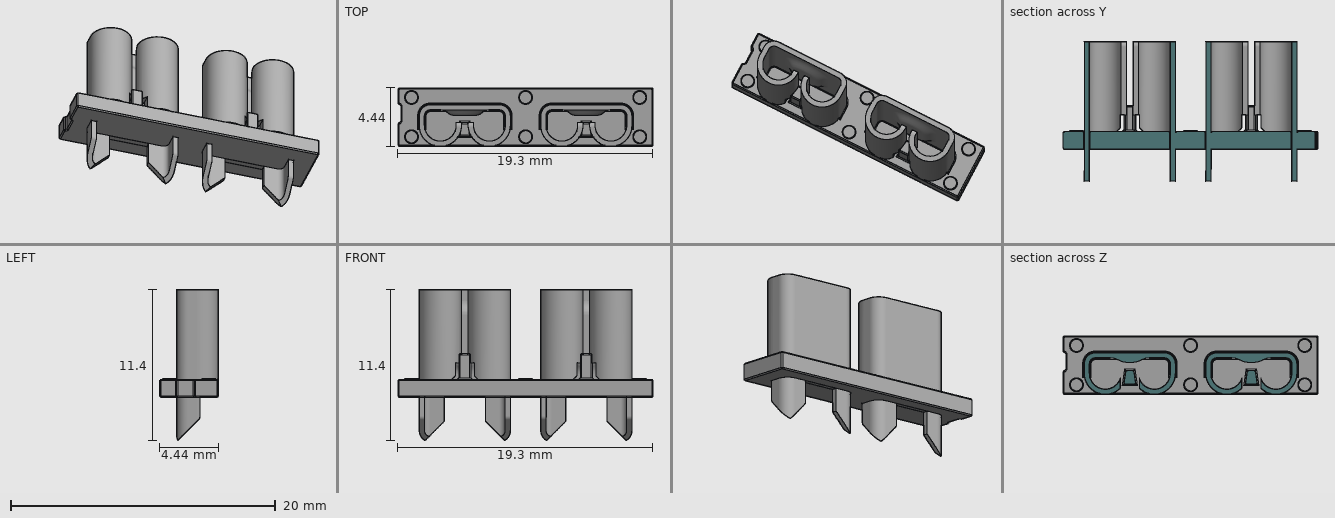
import cadquery as cq
import math

PLATE_LENGTH = 19.3
PLATE_WIDTH = 4.44
PLATE_THICKNESS = 1.37
EDGE_CHAMFER = 0.1

NOTCH_DEPTH = 0.21
NOTCH_WIDTH = 1.35
NOTCH_Y = 0.27

PAD_RADIUS = 0.52
PAD_HEIGHT = 0.08
PAD_BEVEL = 0.05
PAD_X = 8.63
PAD_Y = 1.49

TERMINAL_X = 4.6
WALL = 0.4
HALF_WIDTH = 3.45
TOTAL_HEIGHT = 11.4
HEIGHT = 6.77
LOBE_RADIUS = 1.6
LOBE_Y = LOBE_RADIUS - PLATE_WIDTH / 2
BACK_Y = 0.95
CORNER_RADIUS = 0.85
HALF_GAP = HALF_WIDTH - 2 * LOBE_RADIUS
TIP_Y = -0.4
TIP_ROUND = 0.39

RELIEF_HALF_WIDTH = 0.71
RELIEF_HEIGHT = 1.24
RELIEF_CHAMFER = 0.27

EMBOSS_DEPTH = 0.4
EMBOSS_SLOPE = 1.05
EMBOSS_TOP_RADIUS = 0.8
EMBOSS_BOTTOM_Z = 0.29
EMBOSS_TOP_Z = 5.93

PIN_WIDTH = 1.91
PIN_FRONT_Y = -0.83
PIN_TIP_Z = HEIGHT - TOTAL_HEIGHT
PIN_INNER_Z = -3.17
PIN_FRONT_Z = -2.95
PIN_FRONT_ROUND = 0.39
SLOT_CLEARANCE = 0.02

POST_HEIGHT = 1.95
POST_BACK_Y = -0.4
POST_FRONT_Y = -1.45
POST_BACK_HALF_WIDTH = 0.3
POST_FRONT_HALF_WIDTH = 0.46
POST_CHAMFER = 0.1


def make_plate():
    plate = cq.Workplane("XY").box(
        PLATE_LENGTH, PLATE_WIDTH, PLATE_THICKNESS, centered=(True, True, False)
    )
    notch = cq.Workplane("XY").center(-PLATE_LENGTH / 2, NOTCH_Y)
    notch = notch.rect(2 * NOTCH_DEPTH, NOTCH_WIDTH).extrude(PLATE_THICKNESS)
    plate = plate.cut(notch).edges("|Z").chamfer(EDGE_CHAMFER)
    plate = plate.faces("<Z").edges().chamfer(EDGE_CHAMFER)
    plate = plate.translate((0, 0, -PLATE_THICKNESS))
    slot = make_slot()
    for x in (-TERMINAL_X, TERMINAL_X):
        plate = plate.cut(slot.translate((x, 0, 0)))
    return plate.faces(">Z").edges().chamfer(EDGE_CHAMFER)


def make_pads():
    spots = [(x, y) for x in (-PAD_X, 0, PAD_X) for y in (-PAD_Y, PAD_Y)]
    pads = cq.Workplane("XY").pushPoints(spots).circle(PAD_RADIUS).extrude(PAD_HEIGHT)
    return pads.faces(">Z").chamfer(PAD_BEVEL)


def both_halves(half):
    return half.union(half.mirror("YZ"))


def half_wall(bottom, top):
    """Right half of the terminal wall between two heights."""
    inner_x = HALF_WIDTH - WALL
    lobe_x = HALF_WIDTH - LOBE_RADIUS
    corner_x = HALF_WIDTH - CORNER_RADIUS
    corner_y = BACK_Y - CORNER_RADIUS
    inner_radius = CORNER_RADIUS - WALL
    diagonal = math.sqrt(0.5)
    outline = (
        cq.Workplane("XY", origin=(0, 0, bottom))
        .moveTo(0, BACK_Y)
        .lineTo(corner_x, BACK_Y)
        .threePointArc(
            (corner_x + CORNER_RADIUS * diagonal, corner_y + CORNER_RADIUS * diagonal),
            (HALF_WIDTH, corner_y),
        )
        .lineTo(HALF_WIDTH, LOBE_Y)
        .threePointArc((lobe_x, LOBE_Y - LOBE_RADIUS), (HALF_GAP, LOBE_Y))
        .lineTo(HALF_GAP, TIP_Y)
        .lineTo(HALF_GAP + WALL, TIP_Y)
        .lineTo(HALF_GAP + WALL, LOBE_Y)
        .threePointArc((lobe_x, LOBE_Y - LOBE_RADIUS + WALL), (inner_x, LOBE_Y))
        .lineTo(inner_x, corner_y)
        .threePointArc(
            (corner_x + inner_radius * diagonal, corner_y + inner_radius * diagonal),
            (corner_x, BACK_Y - WALL),
        )
        .lineTo(0, BACK_Y - WALL)
        .close()
    )
    return outline.extrude(top - bottom)


def tip_rounding():
    """Material above the rounded top corner of the curled-in wall ends."""
    start_y = TIP_Y - TIP_ROUND
    start_z = HEIGHT - TIP_ROUND
    middle = TIP_ROUND * math.sqrt(0.5)
    corner = (
        cq.Workplane("YZ")
        .moveTo(start_y, HEIGHT)
        .threePointArc((start_y + middle, start_z + middle), (TIP_Y, start_z))
        .lineTo(TIP_Y, HEIGHT)
        .close()
    )
    return corner.extrude(HALF_GAP + WALL)


def foot_relief():
    """Right half of the opening around the key post, flared at the plate."""
    opening = (
        cq.Workplane("XZ", origin=(0, TIP_Y, 0))
        .lineTo(RELIEF_HALF_WIDTH + RELIEF_CHAMFER, 0)
        .lineTo(RELIEF_HALF_WIDTH, RELIEF_CHAMFER)
        .lineTo(RELIEF_HALF_WIDTH, RELIEF_HEIGHT)
        .lineTo(0, RELIEF_HEIGHT)
        .close()
    )
    return opening.extrude(TIP_Y + PLATE_WIDTH / 2)


def make_emboss():
    """Flat-topped oblong bulge: a straight run capped by two revolved ends."""
    wall_y = BACK_Y - WALL
    crest_y = wall_y - EMBOSS_DEPTH
    root_y = wall_y + WALL / 2
    outer_radius = EMBOSS_TOP_RADIUS + EMBOSS_SLOPE
    middle_radius = EMBOSS_TOP_RADIUS + EMBOSS_SLOPE / 2
    middle_y = wall_y - EMBOSS_DEPTH / 2
    low_z = EMBOSS_BOTTOM_Z + outer_radius
    high_z = EMBOSS_TOP_Z - outer_radius

    profile = (
        cq.Workplane("XY", origin=(0, 0, low_z))
        .moveTo(0, root_y)
        .lineTo(0, crest_y)
        .lineTo(EMBOSS_TOP_RADIUS, crest_y)
        .tangentArcPoint((middle_radius, middle_y), relative=False)
        .tangentArcPoint((outer_radius, wall_y), relative=False)
        .lineTo(outer_radius, root_y)
        .close()
    )
    straight = both_halves(profile.extrude(high_z - low_z))
    end = profile.toPending().revolve(360, (0, 0, 0), (0, 1, 0))
    return straight.union(end).union(end.translate((0, 0, high_z - low_z)))


def half_tail():
    """Right half of the wall below the plate top: one pin and a strip along the back."""
    inner_x = HALF_WIDTH - PIN_WIDTH
    tip_x = inner_x + PIN_INNER_Z - PIN_TIP_Z
    tip_y = PIN_FRONT_Y + PIN_FRONT_Z - PIN_TIP_Z
    inner_cut = (
        cq.Workplane("XZ")
        .moveTo(inner_x, 0)
        .lineTo(inner_x, PIN_INNER_Z)
        .lineTo(tip_x, PIN_TIP_Z)
        .lineTo(HALF_WIDTH, PIN_TIP_Z)
        .lineTo(HALF_WIDTH, 0)
        .close()
        .extrude(PLATE_WIDTH / 2, both=True)
    )
    front_cut = (
        cq.Workplane("YZ")
        .moveTo(PIN_FRONT_Y, 0)
        .lineTo(PIN_FRONT_Y, PIN_FRONT_Z)
        .lineTo(tip_y, PIN_TIP_Z)
        .lineTo(BACK_Y, PIN_TIP_Z)
        .lineTo(BACK_Y, 0)
        .close()
        .extrude(HALF_WIDTH)
    )
    front_corner = cq.NearestToPointSelector((HALF_WIDTH / 2, PIN_FRONT_Y, PIN_FRONT_Z))
    front_cut = front_cut.edges(front_corner).fillet(PIN_FRONT_ROUND)
    pin = half_wall(PIN_TIP_Z, 0).intersect(inner_cut).intersect(front_cut)
    strip = cq.Workplane("XY").box(inner_x, WALL, PLATE_THICKNESS, centered=False)
    return pin.union(strip.translate((0, BACK_Y - WALL, -PLATE_THICKNESS)))


def make_slot():
    """Clearance slot through the plate for the back and side walls."""
    front_y = PIN_FRONT_Y - SLOT_CLEARANCE

    def rounded_block(half_width, back_y, radius):
        block = cq.Workplane("XY", origin=(0, (front_y + back_y) / 2, -PLATE_THICKNESS))
        block = block.rect(2 * half_width, back_y - front_y).extrude(PLATE_THICKNESS)
        return block.edges("|Z and >Y").fillet(radius)

    outer = SLOT_CLEARANCE
    inner = -WALL - SLOT_CLEARANCE
    outside = rounded_block(HALF_WIDTH + outer, BACK_Y + outer, CORNER_RADIUS + outer)
    island = rounded_block(HALF_WIDTH + inner, BACK_Y + inner, CORNER_RADIUS + inner)
    return outside.cut(island)


def make_terminal():
    half = half_wall(0, HEIGHT).cut(tip_rounding()).cut(foot_relief()).union(half_tail())
    return both_halves(half).union(make_emboss())


def make_post():
    outline = [
        (-POST_BACK_HALF_WIDTH, POST_BACK_Y),
        (POST_BACK_HALF_WIDTH, POST_BACK_Y),
        (POST_FRONT_HALF_WIDTH, POST_FRONT_Y),
        (-POST_FRONT_HALF_WIDTH, POST_FRONT_Y),
    ]
    post = cq.Workplane("XY").polyline(outline).close().extrude(POST_HEIGHT)
    post = post.edges("|Z or >Z").chamfer(POST_CHAMFER)
    foot = cq.Workplane("XY").polyline(outline).close().offset2D(POST_CHAMFER, "intersection")
    return post.union(foot.extrude(POST_CHAMFER, taper=45))


result = make_plate().union(make_pads())
terminal_and_post = make_terminal().union(make_post())
for x in (-TERMINAL_X, TERMINAL_X):
    result = result.union(terminal_and_post.translate((x, 0, 0)))